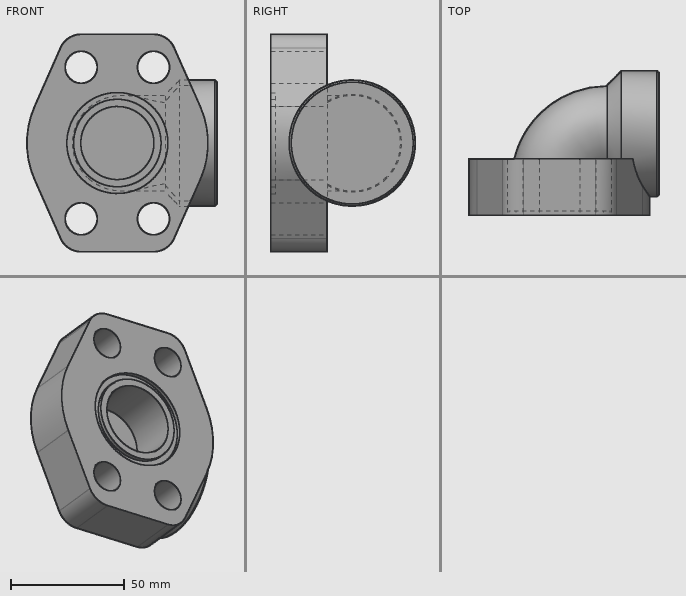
import cadquery as cq
import math

flange_height = 96.0
flange_thickness = 25.0
side_radius = 39.9
corner_radius = 10.0
bolt_x = 15.9
bolt_z = 33.4
bolt_hole_radius = 7.0

bore_radius = 16.1
bore_depth = flange_thickness
groove_inner_radius = 19.3
groove_outer_radius = 22.3
groove_depth = 2.0

bend_radius = 21.1
pipe_radius = 21.1
outlet_y = 36.0
outlet_end_x = 44.0
collar_radius = 27.8
cone_start_radius = 21.6
cone_length = collar_radius - cone_start_radius
collar_chamfer = 1.0


def front_plane():
    """Plane on the front face: local axes are X, Z and -Y, so the part lies at negative depth."""
    return cq.Workplane("XZ")


def make_flange():
    corner_x = bolt_x
    corner_z = flange_height / 2 - corner_radius
    tangent_angle = math.atan2(corner_z, corner_x) - math.acos(
        (side_radius - corner_radius) / math.hypot(corner_x, corner_z)
    )
    corner_mid_angle = (tangent_angle + math.pi / 2) / 2
    side_x = side_radius * math.cos(tangent_angle)
    side_z = side_radius * math.sin(tangent_angle)

    def corner_point(angle):
        return (
            corner_x + corner_radius * math.cos(angle),
            corner_z + corner_radius * math.sin(angle),
        )

    end_x, end_z = corner_point(tangent_angle)
    mid_x, mid_z = corner_point(corner_mid_angle)
    top_z = flange_height / 2
    return (
        front_plane()
        .moveTo(side_x, -side_z)
        .threePointArc((side_radius, 0), (side_x, side_z))
        .lineTo(end_x, end_z)
        .threePointArc((mid_x, mid_z), (corner_x, top_z))
        .lineTo(-corner_x, top_z)
        .threePointArc((-mid_x, mid_z), (-end_x, end_z))
        .lineTo(-side_x, side_z)
        .threePointArc((-side_radius, 0), (-side_x, -side_z))
        .lineTo(-end_x, -end_z)
        .threePointArc((-mid_x, -mid_z), (-corner_x, -top_z))
        .lineTo(corner_x, -top_z)
        .threePointArc((mid_x, -mid_z), (end_x, -end_z))
        .close()
        .extrude(-flange_thickness)
    )


def make_bend():
    """Quarter turn from the Y direction to the X direction."""
    bend_start_y = outlet_y - bend_radius
    return (
        cq.Workplane("XZ", origin=(0, bend_start_y, 0))
        .circle(pipe_radius)
        .revolve(90, (bend_radius, 1, 0), (bend_radius, 0, 0))
    )


def make_collar():
    """Cone and cylinder turned about the outlet axis."""
    cone_end_x = bend_radius + cone_length
    return (
        cq.Workplane("XY", origin=(0, outlet_y, 0))
        .moveTo(bend_radius, 0)
        .lineTo(bend_radius, cone_start_radius)
        .lineTo(cone_end_x, collar_radius)
        .lineTo(outlet_end_x - collar_chamfer, collar_radius)
        .lineTo(outlet_end_x, collar_radius - collar_chamfer)
        .lineTo(outlet_end_x, 0)
        .close()
        .revolve(360, (0, 0, 0), (1, 0, 0))
    )


def make_bolt_holes():
    return (
        front_plane()
        .rect(2 * bolt_x, 2 * bolt_z, forConstruction=True)
        .vertices()
        .circle(bolt_hole_radius)
        .extrude(-flange_thickness)
    )


def make_bore():
    return front_plane().circle(bore_radius).extrude(-bore_depth)


def make_seal_groove():
    return (
        front_plane()
        .circle(groove_outer_radius)
        .circle(groove_inner_radius)
        .extrude(-groove_depth)
    )


body = make_flange().union(make_bend()).union(make_collar())
result = body.cut(make_bolt_holes()).cut(make_bore()).cut(make_seal_groove())